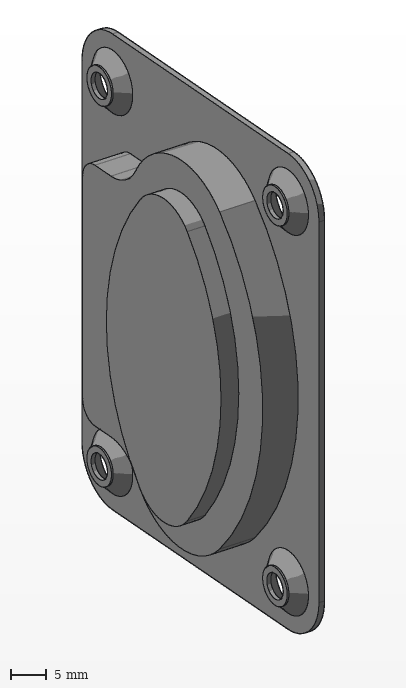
import cadquery as cq
import math

plate_width = 58.0
plate_height = 75
plate_thickness = 1.0
corner_radius = 7.5

boss_base_diameter = 9.9
boss_top_diameter = 6
boss_rim_rise = 0.3
flank_taper = 45
cone_rise = (boss_base_diameter - boss_top_diameter) / 2
boss_rise = cone_rise + boss_rim_rise
hole_diameter = 4.0
land_thickness = 0.7

oval_center_x = 4.05
oval_half_width = 14.0
oval_half_height = 25.5
oval_tip_radius = 7.5
oval_rise = 3

pad_rise = 6
pad_half_width = 19.9
pad_margin = 5.1
pad_tip_radius = 12.8
pad_half_height = oval_half_height + pad_margin
tab_left_x = -20.1
tab_half_height = 20.55
tab_corner_radius = 3
tab_blend_radius = 7.0


def front_plane(height):
    """Sketch plane parallel to XZ, at a height above the plate's back face."""
    return cq.Workplane("XZ", origin=(0, -height, 0))


def tip_tangent_offset(half_width, half_height, tip_radius):
    """Point, relative to the oval center, where the tip arc meets the right side arc."""
    tip_center_z = half_height - tip_radius
    side_radius = (half_width**2 + tip_center_z**2 - tip_radius**2) / (2 * (half_width - tip_radius))
    flank_x = side_radius - half_width
    center_distance = side_radius - tip_radius
    return (
        tip_radius * flank_x / center_distance,
        tip_center_z + tip_radius * tip_center_z / center_distance,
    )


def make_plate():
    plate = front_plane(0).rect(plate_width, plate_height).extrude(plate_thickness)
    return plate.edges("|Y").fillet(corner_radius)


def make_oval():
    dx, dz = tip_tangent_offset(oval_half_width, oval_half_height, oval_tip_radius)
    left = oval_center_x - dx
    right = oval_center_x + dx
    return (
        front_plane(plate_thickness + pad_rise)
        .moveTo(left, dz)
        .threePointArc((oval_center_x, oval_half_height), (right, dz))
        .threePointArc((oval_center_x + oval_half_width, 0), (right, -dz))
        .threePointArc((oval_center_x, -oval_half_height), (left, -dz))
        .threePointArc((oval_center_x - oval_half_width, 0), (left, dz))
        .close()
        .extrude(oval_rise)
    )


def make_pad():
    dx, dz = tip_tangent_offset(pad_half_width, pad_half_height, pad_tip_radius)
    right = oval_center_x + dx

    tip_center_z = pad_half_height - pad_tip_radius
    blend_center_z = tab_half_height + tab_blend_radius
    center_distance = pad_tip_radius + tab_blend_radius
    blend_angle = math.asin((blend_center_z - tip_center_z) / center_distance)
    blend_center_x = oval_center_x - center_distance * math.cos(blend_angle)
    blend_end = (
        oval_center_x - pad_tip_radius * math.cos(blend_angle),
        tip_center_z + pad_tip_radius * math.sin(blend_angle),
    )
    middle_angle = (math.pi / 2 + blend_angle) / 2
    blend_middle = (
        blend_center_x + tab_blend_radius * math.cos(middle_angle),
        blend_center_z - tab_blend_radius * math.sin(middle_angle),
    )

    def mirrored(point):
        return (point[0], -point[1])

    pad = (
        front_plane(plate_thickness)
        .moveTo(tab_left_x, tab_half_height)
        .lineTo(blend_center_x, tab_half_height)
        .threePointArc(blend_middle, blend_end)
        .threePointArc((oval_center_x, pad_half_height), (right, dz))
        .threePointArc((oval_center_x + pad_half_width, 0), (right, -dz))
        .threePointArc((oval_center_x, -pad_half_height), mirrored(blend_end))
        .threePointArc(mirrored(blend_middle), (blend_center_x, -tab_half_height))
        .lineTo(tab_left_x, -tab_half_height)
        .close()
        .extrude(pad_rise)
    )
    return pad.edges("|Y").edges("<X").fillet(tab_corner_radius)


def at_corners(height):
    """Screw positions on a plane at the given height."""
    spacing_x = plate_width - 2 * corner_radius
    spacing_z = plate_height - 2 * corner_radius
    return front_plane(height).rarray(spacing_x, spacing_z, 2, 2)


def make_bosses():
    cones = at_corners(plate_thickness).circle(boss_base_diameter / 2).extrude(cone_rise, taper=flank_taper)
    rims = at_corners(plate_thickness).circle(boss_top_diameter / 2).extrude(boss_rise)
    return cones.union(rims)


def make_holes():
    return at_corners(0).circle(hole_diameter / 2).extrude(plate_thickness + boss_rise)


def make_countersinks():
    """Conical recesses from the back face, narrowing to the screw hole."""
    depth = plate_thickness + boss_rise - land_thickness
    back_radius = hole_diameter / 2 + depth * math.tan(math.radians(flank_taper))
    return at_corners(0).circle(back_radius).extrude(depth, taper=flank_taper)


result = (
    make_plate()
    .union(make_pad())
    .union(make_oval())
    .union(make_bosses())
    .cut(make_holes())
    .cut(make_countersinks())
)